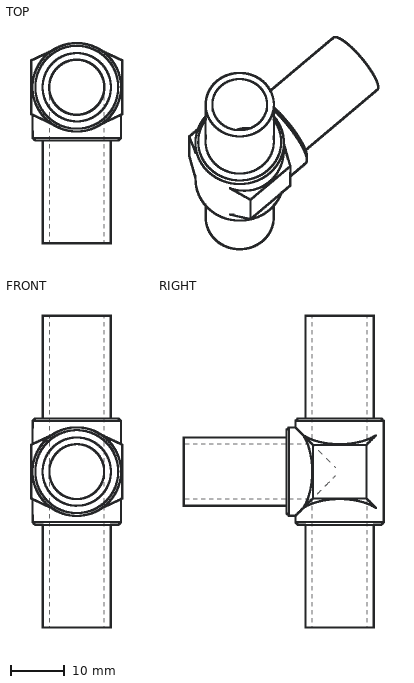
import cadquery as cq
import math

run_length = 58.0
arm_length = run_length / 2
bore_diameter = 10.2
pipe_diameter = 12.7

collar_diameter = 16.5
collar_reach = 9.9
collar_chamfer = 0.5

pad_span = 17.0
pad_side = 10.0
pad_slope_angle = 25.0
pad_depth = 5.0


def run_cylinder(diameter, half_length):
    """Cylinder along Z, centred on the crossing."""
    return cq.Workplane("XY").circle(diameter / 2).extrude(half_length, both=True)


def branch_cylinder(diameter, length):
    """Cylinder from the crossing toward -Y."""
    return cq.Workplane("XZ").circle(diameter / 2).extrude(length)


def pad(direction):
    """Truncated square pyramid on the +X (1) or -X (-1) side."""
    base_side = pad_side + 2 * pad_depth * math.tan(math.radians(pad_slope_angle))
    return (
        cq.Workplane("YZ", origin=(direction * pad_span / 2, 0, 0))
        .rect(pad_side, pad_side)
        .workplane(offset=-direction * pad_depth)
        .rect(base_side, base_side)
        .loft(ruled=True)
    )


run_collar = run_cylinder(collar_diameter, collar_reach).edges().chamfer(collar_chamfer)
branch_collar = (
    branch_cylinder(collar_diameter, collar_reach)
    .faces("<Y")
    .edges()
    .chamfer(collar_chamfer)
)
body = run_collar.union(branch_collar)

for direction in (-1, 1):
    body = body.union(pad(direction))

body = body.union(run_cylinder(pipe_diameter, arm_length))
body = body.union(branch_cylinder(pipe_diameter, arm_length))

body = body.cut(run_cylinder(bore_diameter, arm_length))
result = body.cut(branch_cylinder(bore_diameter, arm_length))